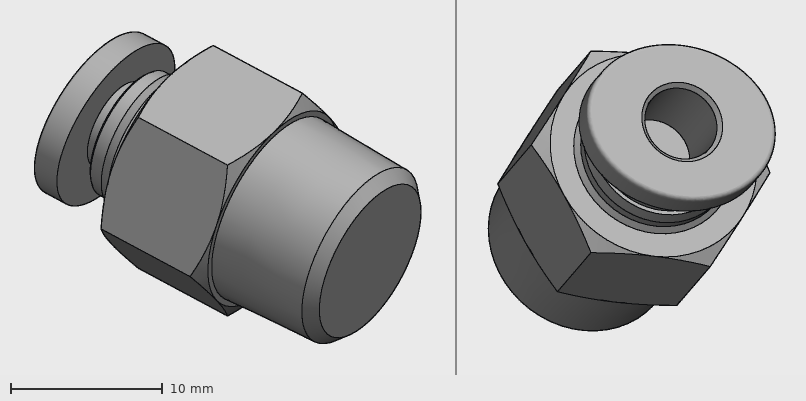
import cadquery as cq
import math

total_length = 22.9
button_thickness = 2.0
collar_front = 3.18
collar_end = 4.42
shoulder_taper_end = 5.18
shoulder_end = 5.9
hex_front = 6.27
hex_length = 8.6
hex_back = hex_front + hex_length

button_width = 13.0
button_height = 11.04
button_rounding = 0.27
sleeve_diameter = 6.3
bore_diameter = 5.0
bore_chamfer = 0.3
socket_depth = hex_front - collar_front

collar_diameter = 9.2
collar_chamfer = 0.15
shoulder_diameter = 10.3
shoulder_front_diameter = 9.75
shoulder_root_diameter = shoulder_diameter + 2 * (hex_front - shoulder_end)

hex_across_flats = 14.3
hex_across_corners = hex_across_flats / math.cos(math.pi / 6)
hex_chamfer_angle = 30.0
thread_root_diameter = 13.47
thread_end_diameter = 12.87
thread_chamfer = 0.82

hex_chamfer_height = (hex_across_corners - hex_across_flats) / 2
hex_chamfer_length = hex_chamfer_height * math.tan(math.radians(hex_chamfer_angle))


def revolve_about_axis(profile):
    """Revolve an outline of (axial position, radius) points about the X axis."""
    return cq.Workplane("XY").polyline(profile).close().revolve(360, (0, 0, 0), (1, 0, 0))


def cylinder(start, length, diameter):
    """Round bar along +X, starting at the given axial position."""
    return cq.Workplane("YZ", origin=(start, 0, 0)).circle(diameter / 2).extrude(length)


def make_release_button():
    flange = (
        cq.Workplane("YZ")
        .ellipse(button_width / 2, button_height / 2)
        .extrude(button_thickness)
        .faces("<X")
        .edges()
        .fillet(button_rounding)
    )
    sleeve = cylinder(button_thickness, hex_front - button_thickness, sleeve_diameter)
    bore_radius = bore_diameter / 2
    bore = revolve_about_axis([
        (0, 0),
        (0, bore_radius + bore_chamfer),
        (bore_chamfer, bore_radius),
        (hex_front, bore_radius),
        (hex_front, 0),
    ])
    return flange.union(sleeve).cut(bore)


def make_stepped_shoulder():
    collar_radius = collar_diameter / 2
    return revolve_about_axis([
        (collar_front, 0),
        (collar_front, collar_radius - collar_chamfer),
        (collar_front + collar_chamfer, collar_radius),
        (collar_end, collar_radius),
        (collar_end, shoulder_front_diameter / 2),
        (shoulder_taper_end, shoulder_diameter / 2),
        (shoulder_end, shoulder_diameter / 2),
        (hex_front, shoulder_root_diameter / 2),
        (hex_front, 0),
    ])


def make_hexagon():
    prism = (
        cq.Workplane("YZ", origin=(hex_front, 0, 0))
        .polygon(6, hex_across_corners)
        .extrude(hex_length)
    )
    flat_radius = hex_across_flats / 2
    corner_radius = hex_across_corners / 2
    envelope = revolve_about_axis([
        (hex_front, 0),
        (hex_front, flat_radius),
        (hex_front + hex_chamfer_length, corner_radius),
        (hex_back - hex_chamfer_length, corner_radius),
        (hex_back, flat_radius),
        (hex_back, 0),
    ])
    return prism.intersect(envelope)


def make_threaded_end():
    end_radius = thread_end_diameter / 2
    return revolve_about_axis([
        (hex_back, 0),
        (hex_back, thread_root_diameter / 2),
        (total_length - thread_chamfer, end_radius),
        (total_length, end_radius - thread_chamfer),
        (total_length, 0),
    ])


def make_fitting_body():
    socket = cylinder(collar_front, socket_depth, sleeve_diameter)
    return make_stepped_shoulder().union(make_hexagon()).union(make_threaded_end()).cut(socket)


release_button = make_release_button()
fitting_body = make_fitting_body()

result = cq.Compound.makeCompound([release_button.val(), fitting_body.val()])